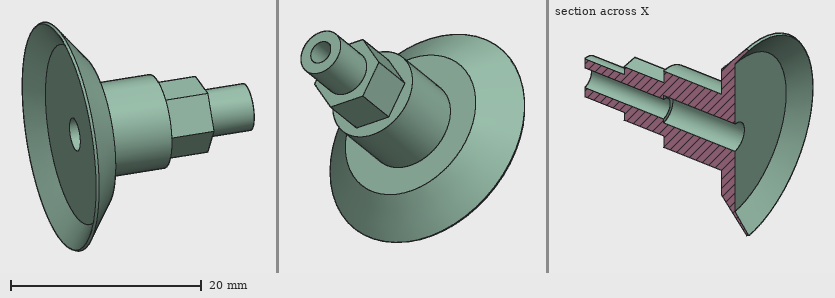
import cadquery as cq
import math

total_length = 20.8
rim_diameter = 24.35
rim_band_height = 0.3
face_diameter = 24.05
cup_height = 3.5
cup_back_diameter = 16.31
floor_diameter = 19.16
floor_depth = 1.75

stud_diameter = 5.0
stud_length = 5.0
hex_across_flats = 7.0
hex_length = 5.0
body_diameter = 9.98

bore_diameter = 2.5
counterbore_diameter = 3.5
hex_start = total_length - stud_length - hex_length
counterbore_end = hex_start


def plane_at(y):
    """Sketch plane across the axis, with its normal along +Y."""
    return cq.Workplane(cq.Plane(origin=(0, y, 0), xDir=(1, 0, 0), normal=(0, 1, 0)))


def cylinder(diameter, start, end):
    return plane_at(start).circle(diameter / 2).extrude(end - start)


def make_cup():
    profile = [
        (0, floor_depth),
        (floor_diameter / 2, floor_depth),
        (face_diameter / 2, 0),
        (rim_diameter / 2, rim_band_height),
        (cup_back_diameter / 2, cup_height),
        (0, cup_height),
    ]
    return cq.Workplane("XY").polyline(profile).close().revolve(360, (0, 0, 0), (0, 1, 0))


def make_hex():
    """Hexagon with corners on the X axis and flats facing up and down."""
    across_corners = hex_across_flats / math.cos(math.pi / 6)
    return plane_at(hex_start).polygon(6, across_corners).extrude(hex_length)


body = cylinder(body_diameter, cup_height, hex_start)
stud = cylinder(stud_diameter, hex_start + hex_length, total_length)
bore = cylinder(bore_diameter, 0, total_length)
counterbore = cylinder(counterbore_diameter, 0, counterbore_end)

result = make_cup().union(body).union(make_hex()).union(stud).cut(bore).cut(counterbore)